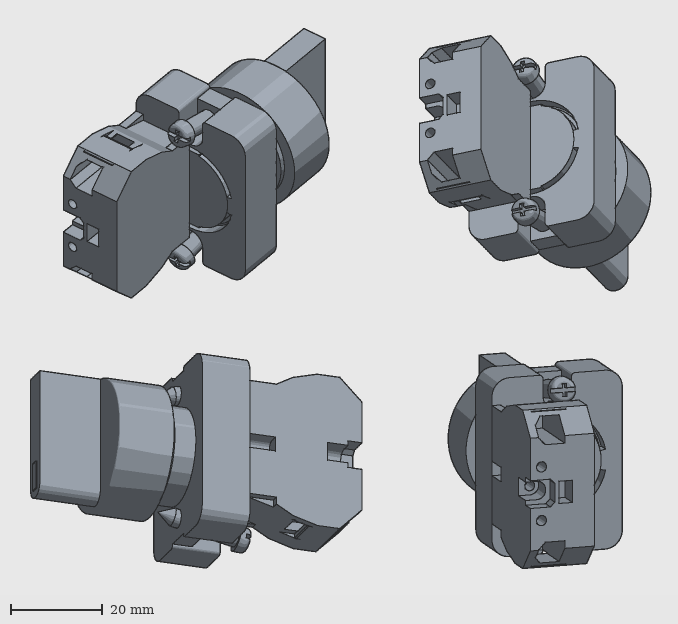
import cadquery as cq
import math


flange_width = 29.91
flange_height = 40.0
flange_depth = 11.1
flange_corner_radius = 4.0
slot_half_width = 3.25
slot_floor_z = 12.0
slot_edge_radius = 0.9
lug_start_y = 6.6
lug_top_z = 19.05
socket_radius = 11.35
socket_depth = 3.0
stop_half_angle = 12.0

spigot_radius = 10.1
spigot_ramp_half_width = 2.3
spigot_ramp_foot_z = 10.2
neck_radius = 10.95
neck_end_y = 16.4
collar_radius = 12.15
collar_end_y = 17.65
bezel_radius = flange_width / 2
bezel_end_y = 30.25
bezel_front_round = 0.4

handle_width = 5.9
handle_top_z = 14.55
handle_bottom_z = -14.05
handle_end_y = 44.3
mark_width = 2.1
mark_top_z = -5.9
mark_bottom_z = -12.2
mark_height = 0.25

screw_tilt = 11.0
screw_tip_y = 15.8
screw_tip_z = 13.45
shank_radius = 2.05
tip_length = 3.5
head_base = 18.6
head_height = 2.65
head_base_radius = 3.0
head_top_radius = 2.8
head_round = 1.0
drive_slot_width = 0.95
drive_cross_length = 2.8
drive_depth = 1.3

block_left_x = -flange_width / 2
block_right_x = -0.28
block_width = block_right_x - block_left_x
block_front_y = -26.05
block_half_height = 17.7
block_front_half_height = 12.6
block_crown_front_y = -20.85
block_crown_rear_y = -15.6
block_bend_y = -9.95
block_bend_z = 16.15
block_shoulder_y = -6.15
block_shoulder_z = 14.05

ramp_left_x = -13.0
ramp_right_x = -2.1
ramp_foot_z = 12.4

side_groove_half_width = 1.62
side_groove_depth = 3.9
side_groove_length = 5.95

screw_hole_x = -12.4
screw_hole_radius = 1.13
screw_hole_pitch = 6.0
screw_hole_depth = 5.0

latch_half_height = 3.1
latch_right_x = -9.35
latch_chamfer = 1.0
latch_depth = 3.25
latch_well_radius = 2.05
latch_well_depth = 8.0

test_left_x = -8.4
test_right_x = -5.3
test_height = 4.95
test_depth = 5.0

wire_left_x = -13.05
wire_right_x = -7.05
wire_bottom_z = 10.9
wire_top_z = 16.4
wire_chamfer = 1.6
wire_end_y = -11.0

window_left_x = wire_left_x
window_right_x = -5.2
window_rear_y = -10.4
window_front_y = -14.0
window_floor_z = 16.3
well_left_x = -11.8

label_slit_z = 17.25
label_slit_thickness = 0.12


def box(x_range, y_range, z_range):
    """Box between two limits on every axis."""
    (x0, x1), (y0, y1), (z0, z1) = x_range, y_range, z_range
    return cq.Workplane("XY").box(x1 - x0, y1 - y0, z1 - z0, centered=False).translate((x0, y0, z0))


def along_y(sketch_y):
    """Workplane whose sketch axes are X and Z and whose extrusions run toward -Y."""
    return cq.Workplane("XZ", origin=(0, sketch_y, 0))


def cylinder(radius, start_y, end_y):
    """Cylinder on the switch axis."""
    return along_y(end_y).circle(radius).extrude(end_y - start_y)


def mirrored(feature):
    """The feature and its copy on the other side of Z = 0."""
    return feature.union(feature.mirror("XY"))


def make_screw():
    """Pointed screw with a slotted cross drive, tilted into the upper flange slot."""
    head_end = head_base + head_height
    profile = (
        cq.Workplane("XY")
        .moveTo(0, 0)
        .lineTo(shank_radius, -tip_length)
        .lineTo(shank_radius, -head_base)
        .lineTo(head_base_radius, -head_base)
        .lineTo(head_top_radius, -head_end + head_round)
        .radiusArc((head_top_radius - head_round, -head_end), head_round)
        .lineTo(0, -head_end)
        .close()
    )
    screw = profile.revolve(360, (0, 0, 0), (0, 1, 0))
    drive_y = (-head_end, -head_end + drive_depth)
    across_head = (-head_base_radius, head_base_radius)
    cross_span = (-drive_cross_length / 2, drive_cross_length / 2)
    narrow = (-drive_slot_width / 2, drive_slot_width / 2)
    screw = screw.cut(box(across_head, drive_y, narrow)).cut(box(narrow, drive_y, cross_span))
    return screw.rotate((0, 0, 0), (1, 0, 0), -screw_tilt).translate((0, screw_tip_y, screw_tip_z))


def spigot_ramp():
    """Small ramp on top of the spigot, rising from its end to the neck."""
    base_z = math.sqrt(spigot_radius**2 - spigot_ramp_half_width**2)
    outline = [
        (0, base_z),
        (0, spigot_ramp_foot_z),
        (socket_depth, neck_radius),
        (socket_depth, base_z),
    ]
    return (
        cq.Workplane("YZ", origin=(-spigot_ramp_half_width, 0, 0))
        .polyline(outline)
        .close()
        .extrude(2 * spigot_ramp_half_width)
    )


def make_operator():
    """Bezel, collar and neck with the ramped spigot that ends level with the flange."""
    bezel = cylinder(bezel_radius, collar_end_y, bezel_end_y)
    bezel = bezel.faces(">Y").edges().fillet(bezel_front_round)
    collar = cylinder(collar_radius, neck_end_y, collar_end_y)
    neck = cylinder(neck_radius, socket_depth, neck_end_y)
    spigot = cylinder(spigot_radius, 0, socket_depth)
    return bezel.union(collar).union(neck).union(spigot).union(mirrored(spigot_ramp()))


def make_handle():
    """Lever with a flat top, a half-round bottom and a raised pointer mark."""
    half_width = handle_width / 2
    round_center_z = handle_bottom_z + half_width
    lever = (
        along_y(handle_end_y)
        .moveTo(-half_width, handle_top_z)
        .lineTo(half_width, handle_top_z)
        .lineTo(half_width, round_center_z)
        .threePointArc((0, handle_bottom_z), (-half_width, round_center_z))
        .close()
        .extrude(handle_end_y - bezel_end_y)
    )
    mark = box(
        (-mark_width / 2, mark_width / 2),
        (handle_end_y, handle_end_y + mark_height),
        (mark_bottom_z, mark_top_z),
    )
    return lever.union(mark)


def screw_slot():
    """Round-bottomed slot from the upper flange edge, flared by rounds at its mouth."""
    top = flange_height / 2
    mouth = slot_half_width + slot_edge_radius
    round_start = top - slot_edge_radius
    bottom_center_z = slot_floor_z + slot_half_width
    return (
        along_y(flange_depth)
        .moveTo(-mouth, top)
        .radiusArc((-slot_half_width, round_start), slot_edge_radius)
        .lineTo(-slot_half_width, bottom_center_z)
        .threePointArc((0, slot_floor_z), (slot_half_width, bottom_center_z))
        .lineTo(slot_half_width, round_start)
        .radiusArc((mouth, top), slot_edge_radius)
        .close()
        .extrude(flange_depth)
    )


def make_flange(screws):
    """Mounting flange with screw slots, screw lugs and the stepped socket for the operator."""
    flange = (
        along_y(flange_depth)
        .rect(flange_width, flange_height)
        .extrude(flange_depth)
        .edges("|Y")
        .fillet(flange_corner_radius)
    )
    lug = box(
        (-slot_half_width, slot_half_width),
        (lug_start_y, flange_depth),
        (slot_floor_z, lug_top_z),
    )
    flange = flange.cut(mirrored(screw_slot())).union(mirrored(lug))
    flange = flange.cut(cylinder(neck_radius, 0, flange_depth))

    reach = 2 * socket_radius
    spread = reach * math.tan(math.radians(stop_half_angle))
    ring = cylinder(socket_radius, 0, socket_depth).cut(cylinder(spigot_radius, 0, socket_depth))
    for side in (-1, 1):
        wedge = (
            along_y(socket_depth)
            .polyline([(0, 0), (side * reach, spread), (side * reach, -spread)])
            .close()
            .extrude(socket_depth)
        )
        stop = ring.intersect(wedge)
        flange = flange.union(stop)
        ring = ring.cut(wedge)
    flange = flange.cut(ring)
    for screw in screws:
        flange = flange.cut(screw)
    return flange


def block_body():
    """Side outline of the contact block, extruded across its width."""
    upper = [
        (0, block_shoulder_z),
        (block_shoulder_y, block_shoulder_z),
        (block_bend_y, block_bend_z),
        (block_crown_rear_y, block_half_height),
        (block_crown_front_y, block_half_height),
        (block_front_y, block_front_half_height),
    ]
    lower = [(y, -z) for y, z in reversed(upper)]
    return (
        cq.Workplane("YZ", origin=(block_left_x, 0, 0))
        .polyline(upper + lower)
        .close()
        .extrude(block_width)
    )


def ramp_recess():
    """Sloping recess in the upper shoulder, deepest against the flange."""
    return (
        cq.Workplane("YZ", origin=(ramp_left_x, 0, 0))
        .polyline([(0, ramp_foot_z), (0, block_shoulder_z), (block_shoulder_y, block_shoulder_z)])
        .close()
        .extrude(ramp_right_x - ramp_left_x)
    )


def wire_entry():
    """Upper wire passage from the front, with two bevelled corners on its left side."""
    outline = [
        (wire_right_x, wire_bottom_z),
        (wire_right_x, wire_top_z),
        (wire_left_x + wire_chamfer, wire_top_z),
        (wire_left_x, wire_top_z - wire_chamfer),
        (wire_left_x, wire_bottom_z + wire_chamfer),
        (wire_left_x + wire_chamfer, wire_bottom_z),
    ]
    return along_y(wire_end_y).polyline(outline).close().extrude(wire_end_y - block_front_y)


def terminal_window():
    """Upper window with a well down to the wire passage and a thin label slit in front of it."""
    window_x = (window_left_x, window_right_x)
    window = box(window_x, (window_front_y, window_rear_y), (window_floor_z, block_half_height))
    well_z = (wire_bottom_z + wire_chamfer, block_half_height)
    well = box((well_left_x, wire_right_x), (window_front_y, wire_end_y), well_z)
    slit_z = (label_slit_z, label_slit_z + label_slit_thickness)
    slit = box(window_x, (block_front_y, window_front_y), slit_z)
    return window.union(well).union(slit)


def side_groove():
    """Round-bottomed groove in the left side, running forward from the flange."""
    center_x = block_left_x + side_groove_depth - side_groove_half_width
    half = side_groove_half_width
    channel = box((block_left_x, center_x), (-side_groove_length, 0), (-half, half))
    return channel.union(along_y(0).center(center_x, 0).circle(half).extrude(side_groove_length))


def latch_recess():
    """Stepped recess open to the left side: a bevelled pocket over a round-ended well."""
    outline = [
        (block_left_x, latch_half_height),
        (latch_right_x - latch_chamfer, latch_half_height),
        (latch_right_x, latch_half_height - latch_chamfer),
        (latch_right_x, -latch_half_height + latch_chamfer),
        (latch_right_x - latch_chamfer, -latch_half_height),
        (block_left_x, -latch_half_height),
    ]
    pocket = along_y(block_front_y + latch_depth).polyline(outline).close().extrude(latch_depth)
    well_end_y = block_front_y + latch_well_depth
    channel = box(
        (block_left_x, screw_hole_x),
        (block_front_y, well_end_y),
        (-latch_well_radius, latch_well_radius),
    )
    round_end = along_y(well_end_y).center(screw_hole_x, 0).circle(latch_well_radius)
    return pocket.union(channel).union(round_end.extrude(latch_well_depth))


def screw_hole(z, mouth_y):
    """Blind round hole in the front of the contact block."""
    hole = along_y(mouth_y + screw_hole_depth).center(screw_hole_x, z)
    return hole.circle(screw_hole_radius).extrude(screw_hole_depth)


def make_contact_block():
    block = block_body()
    block = block.cut(mirrored(ramp_recess()))
    lower_notch = box(
        (block_left_x, ramp_left_x),
        (block_shoulder_y, 0),
        (-block_shoulder_z, -ramp_foot_z),
    )
    block = block.cut(lower_notch)
    block = block.cut(mirrored(wire_entry()))
    block = block.cut(mirrored(terminal_window()))
    block = block.cut(side_groove())
    block = block.cut(latch_recess())
    for z in (-screw_hole_pitch, screw_hole_pitch):
        block = block.cut(screw_hole(z, block_front_y))
    block = block.cut(screw_hole(0, block_front_y + latch_well_depth))
    test_slot = box(
        (test_left_x, test_right_x),
        (block_front_y, block_front_y + test_depth),
        (-test_height / 2, test_height / 2),
    )
    return block.cut(test_slot)


upper_screw = make_screw()
screws = [upper_screw, upper_screw.mirror("XY")]
operator = make_operator()
handle = make_handle()
flange = make_flange(screws)
contact_block = make_contact_block()

result = cq.Compound.makeCompound(
    [contact_block.val(), flange.val(), operator.val(), handle.val(), *[screw.val() for screw in screws]]
)